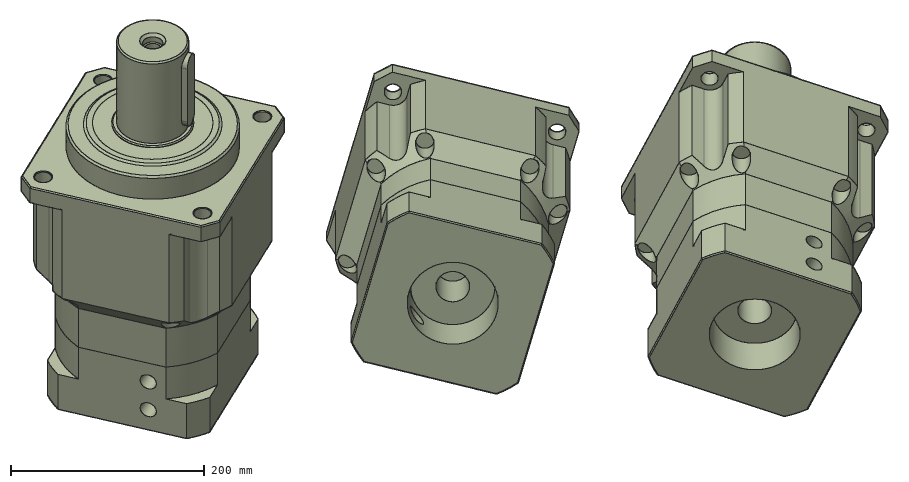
import cadquery as cq
import math

QUARTER_TURNS = (0, 90, 180, 270)

ADAPTER_SQUARE_TOP = 46.5
ADAPTER_TOP = 88.0
TAPER_BOTTOM = 139.0
TAPER_TOP = 163.3
FLANGE_BOTTOM = 278.5
FLANGE_TOP = 298.5
PILOT_TOP = 328.0
BOSS_TOP = 329.5
SHOULDER_TOP = 331.5
OVERALL_HEIGHT = 436.5

FLANGE_WIDTH = 220.0
FLANGE_CORNER_CHAMFER = 15.3
FLANGE_EDGE_CHAMFER = 1.5
BODY_CORNER_DIAMETER = 249.5
NECK_WIDTH = 180.0
NECK_CORNER_DIAMETER = 204.5
PILOT_DIAMETER = 180.0
PILOT_CHAMFER = 2.0
BOSS_BASE_DIAMETER = 143.5
BOSS_TOP_DIAMETER = 138.0

BOLT_OFFSET = 88.0
BOLT_HOLE_DIAMETER = 18.0
BOLT_HOLE_CHAMFER = 1.0
COUNTERSINK_ANGLE = 90
POCKET_WALL_OFFSET = 73.0
POCKET_CORNER_RADIUS = 15.0

RECESS_CIRCLE_RADIUS = 112.5
RECESS_DIAMETER = 19.0
RECESS_ANGLES = (30, 60)

ADAPTER_CORNER_DIAMETER = 229.5
ADAPTER_EDGE_CHAMFER = 1.5
ADAPTER_BORE_DIAMETER = 94.5
ACCESS_HOLE_DIAMETER = 18.0
ACCESS_HOLE_X = 29.0
LOWER_ACCESS_HOLE_Z = 27.5
CLAMP_SCREW_Z = 63.7

HUB_DIAMETER = 87.5
HUB_BORE_DIAMETER = 35.0
HUB_BOTTOM = 2 * CLAMP_SCREW_Z - ADAPTER_TOP
SCREW_SEAT_Y = -13.0
SCREW_CLEARANCE_DIAMETER = 12.5
SCREW_TAPPED_DIAMETER = 9.5

SHAFT_DIAMETER = 75.0
SHAFT_CHAMFER = 1.7
SHOULDER_DIAMETER = 85.0
SHOULDER_CHAMFER = 1.5
COLLAR_DIAMETER = 125.0
COLLAR_BOTTOM = FLANGE_TOP
CENTRE_HOLE_DIAMETER = 21.0
CENTRE_HOLE_CHAMFER = 3.0
CENTRE_HOLE_DEPTH = 9.5
TAP_DRILL_DIAMETER = 16.0
TAP_DRILL_DEPTH = 43.5
DRILL_POINT_ANGLE = 120

KEY_WIDTH = 21.5
KEY_HEIGHT = 14.0
KEY_OUTER_X = 42.5
KEY_BOTTOM = 338.7
KEY_TOP = 429.0


def rounded_square_outline(width, corner_diameter, z):
    """Square outline whose corners are cut by a circle about the Z axis."""
    half = width / 2
    radius = corner_diameter / 2
    edge_end = math.sqrt(radius**2 - half**2)
    diagonal = radius / math.sqrt(2)
    return (
        cq.Workplane("XY", origin=(0, 0, z))
        .moveTo(-edge_end, -half)
        .lineTo(edge_end, -half)
        .threePointArc((diagonal, -diagonal), (half, -edge_end))
        .lineTo(half, edge_end)
        .threePointArc((diagonal, diagonal), (edge_end, half))
        .lineTo(-edge_end, half)
        .threePointArc((-diagonal, diagonal), (-half, edge_end))
        .lineTo(-half, -edge_end)
        .threePointArc((-diagonal, -diagonal), (-edge_end, -half))
        .close()
    )


def rounded_square(width, corner_diameter, bottom, top):
    return rounded_square_outline(width, corner_diameter, bottom).extrude(top - bottom)


def cylinder(diameter, bottom, top):
    return cq.Workplane("XY", origin=(0, 0, bottom)).circle(diameter / 2).extrude(top - bottom)


def top_chamfered_cylinder(diameter, bottom, top, chamfer):
    return cylinder(diameter, bottom, top).faces(">Z").edges().chamfer(chamfer)


def cross_cylinder(diameter, start_y, end_y, z):
    """Cylinder along Y at the sideways offset of the clamp screw."""
    plane = cq.Plane(origin=(ACCESS_HOLE_X, start_y, z), xDir=(1, 0, 0), normal=(0, 1, 0))
    return cq.Workplane(plane).circle(diameter / 2).extrude(end_y - start_y)


def make_taper():
    """Transition from the wide gearbox body down to the neck."""
    upper = rounded_square_outline(FLANGE_WIDTH, BODY_CORNER_DIAMETER, TAPER_TOP).wires().val()
    lower = rounded_square_outline(NECK_WIDTH, NECK_CORNER_DIAMETER, TAPER_BOTTOM).wires().val()
    return cq.Workplane(cq.Solid.makeLoft([lower, upper], True))


def make_corner_pockets():
    """Four pockets under the flange corners, each with one rounded inner edge."""
    size = FLANGE_WIDTH / 2
    centre = POCKET_WALL_OFFSET + size / 2
    inner_edge = cq.selectors.NearestToPointSelector(
        (POCKET_WALL_OFFSET, POCKET_WALL_OFFSET, (TAPER_BOTTOM + FLANGE_BOTTOM) / 2)
    )
    pocket = (
        cq.Workplane("XY", origin=(centre, centre, TAPER_BOTTOM))
        .rect(size, size)
        .extrude(FLANGE_BOTTOM - TAPER_BOTTOM)
        .edges("|Z")
        .edges(inner_edge)
        .fillet(POCKET_CORNER_RADIUS)
    )
    pockets = cq.Workplane()
    for quarter_turn in QUARTER_TURNS:
        pockets.add(pocket.rotate((0, 0, 0), (0, 0, 1), quarter_turn))
    return pockets.combine()


def make_screw_recesses():
    """Recesses open through the taper, ending level with its top."""
    points = []
    for quarter_turn in QUARTER_TURNS:
        for angle in RECESS_ANGLES:
            turn = math.radians(quarter_turn + angle)
            points.append((RECESS_CIRCLE_RADIUS * math.cos(turn), RECESS_CIRCLE_RADIUS * math.sin(turn)))
    return (
        cq.Workplane("XY", origin=(0, 0, TAPER_BOTTOM))
        .pushPoints(points)
        .circle(RECESS_DIAMETER / 2)
        .extrude(TAPER_TOP - TAPER_BOTTOM)
    )


def make_housing():
    neck = rounded_square(NECK_WIDTH, NECK_CORNER_DIAMETER, ADAPTER_TOP, TAPER_BOTTOM)
    body = rounded_square(FLANGE_WIDTH, BODY_CORNER_DIAMETER, TAPER_TOP, FLANGE_BOTTOM)
    gear_case = body.union(make_taper()).cut(make_corner_pockets()).cut(make_screw_recesses())
    flange = (
        cq.Workplane("XY", origin=(0, 0, FLANGE_BOTTOM))
        .rect(FLANGE_WIDTH, FLANGE_WIDTH)
        .extrude(FLANGE_TOP - FLANGE_BOTTOM)
        .edges("|Z")
        .chamfer(FLANGE_CORNER_CHAMFER)
        .faces(">Z")
        .edges()
        .chamfer(FLANGE_EDGE_CHAMFER)
        .faces(">Z")
        .workplane()
        .rect(2 * BOLT_OFFSET, 2 * BOLT_OFFSET, forConstruction=True)
        .vertices()
        .cskHole(BOLT_HOLE_DIAMETER, BOLT_HOLE_DIAMETER + 2 * BOLT_HOLE_CHAMFER, COUNTERSINK_ANGLE)
    )
    pilot = top_chamfered_cylinder(PILOT_DIAMETER, FLANGE_TOP, PILOT_TOP, PILOT_CHAMFER)
    boss_base = cq.Workplane("XY", origin=(0, 0, PILOT_TOP)).circle(BOSS_BASE_DIAMETER / 2)
    boss = boss_base.workplane(offset=BOSS_TOP - PILOT_TOP).circle(BOSS_TOP_DIAMETER / 2).loft()
    seat = cylinder(COLLAR_DIAMETER, COLLAR_BOTTOM, BOSS_TOP)
    return neck.union(gear_case).union(flange).union(pilot).union(boss).cut(seat)


def make_adapter():
    square_base = rounded_square(NECK_WIDTH, ADAPTER_CORNER_DIAMETER, 0, ADAPTER_SQUARE_TOP)
    square_base = square_base.faces("<Z").edges().chamfer(ADAPTER_EDGE_CHAMFER)
    collar = rounded_square(NECK_WIDTH, NECK_CORNER_DIAMETER, ADAPTER_SQUARE_TOP, ADAPTER_TOP)
    adapter = square_base.union(collar).cut(cylinder(ADAPTER_BORE_DIAMETER, 0, ADAPTER_TOP))
    for z in (LOWER_ACCESS_HOLE_Z, CLAMP_SCREW_Z):
        adapter = adapter.cut(cross_cylinder(ACCESS_HOLE_DIAMETER, -NECK_WIDTH / 2, 0, z))
    return adapter


def make_clamp_hub():
    """Clamp hub with a cross hole for its screw, seated behind the upper access hole."""
    radius = HUB_DIAMETER / 2
    hub = cylinder(HUB_DIAMETER, HUB_BOTTOM, ADAPTER_TOP)
    hub = hub.cut(cylinder(HUB_BORE_DIAMETER, HUB_BOTTOM, ADAPTER_TOP))
    hub = hub.cut(cross_cylinder(ACCESS_HOLE_DIAMETER, -radius, SCREW_SEAT_Y, CLAMP_SCREW_Z))
    hub = hub.cut(cross_cylinder(SCREW_CLEARANCE_DIAMETER, SCREW_SEAT_Y, 0, CLAMP_SCREW_Z))
    return hub.cut(cross_cylinder(SCREW_TAPPED_DIAMETER, 0, radius, CLAMP_SCREW_Z))


def make_key():
    """Key with fully rounded ends, standing out of the +X side of the shaft."""
    plane = cq.Plane(
        origin=(KEY_OUTER_X - KEY_HEIGHT, 0, (KEY_BOTTOM + KEY_TOP) / 2), xDir=(0, 0, 1), normal=(1, 0, 0)
    )
    return cq.Workplane(plane).slot2D(KEY_TOP - KEY_BOTTOM, KEY_WIDTH).extrude(KEY_HEIGHT)


def make_centre_hole():
    """Stepped, chamfered hole with a drill point in the end of the shaft."""
    hole_radius = CENTRE_HOLE_DIAMETER / 2
    drill_radius = TAP_DRILL_DIAMETER / 2
    drill_end = OVERALL_HEIGHT - TAP_DRILL_DEPTH
    point_length = drill_radius / math.tan(math.radians(DRILL_POINT_ANGLE / 2))
    step_z = OVERALL_HEIGHT - CENTRE_HOLE_DEPTH
    profile = [
        (0, OVERALL_HEIGHT),
        (hole_radius + CENTRE_HOLE_CHAMFER, OVERALL_HEIGHT),
        (hole_radius, OVERALL_HEIGHT - CENTRE_HOLE_CHAMFER),
        (hole_radius, step_z),
        (drill_radius, step_z),
        (drill_radius, drill_end),
        (0, drill_end - point_length),
    ]
    return cq.Workplane("XZ").polyline(profile).close().revolve(360, (0, 0), (0, 1))


def make_shaft(key):
    collar = cylinder(COLLAR_DIAMETER, COLLAR_BOTTOM, BOSS_TOP)
    shoulder = top_chamfered_cylinder(SHOULDER_DIAMETER, BOSS_TOP, SHOULDER_TOP, SHOULDER_CHAMFER)
    journal = top_chamfered_cylinder(SHAFT_DIAMETER, SHOULDER_TOP, OVERALL_HEIGHT, SHAFT_CHAMFER)
    return collar.union(shoulder).union(journal).cut(make_centre_hole()).cut(key)


housing = make_housing()
adapter = make_adapter()
clamp_hub = make_clamp_hub()
key = make_key()
shaft = make_shaft(key)

result = cq.Compound.makeCompound(
    [housing.val(), adapter.val(), clamp_hub.val(), shaft.val(), key.val()]
)